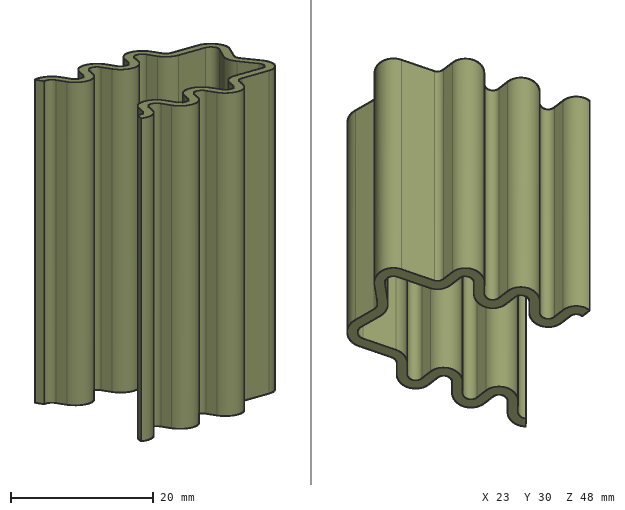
import cadquery as cq
import math

length = 48.0
width = 23.0
depth = 30.0
wall = 1.5
inside_radius = 1.2
neck_width = 15.0
lobe_pitch = 8.5
first_lobe_depth = 12.0
valley_depth = 2.2
outer_lobes = 2

outside_radius = inside_radius + wall
bend_radius = inside_radius + wall / 2


def tangent_angle(step_x, step_y):
    """Angle from +X, in degrees, of the straight run joining two bends.

    The run leaves a clockwise bend and enters a counterclockwise bend whose
    center lies step_x, step_y away from the first center.
    """
    crossing = math.asin(2 * bend_radius / math.hypot(step_x, step_y))
    return math.degrees(math.atan2(step_y, step_x) - crossing)


lobe_x = -width / 2 + outside_radius
inner_x = -neck_width / 2 + wall - outside_radius
corner_x = -neck_width / 2 + outside_radius
corner_y = -outside_radius
valley_y = -valley_depth + inside_radius
end_y = -first_lobe_depth - outer_lobes * lobe_pitch

leg_slope = tangent_angle(inner_x - lobe_x, lobe_pitch / 2)
crest_slope = -tangent_angle(-corner_x, valley_y - corner_y)
end_sweep = math.degrees(math.asin((depth + end_y) / outside_radius))

left_bends = [(lobe_x, end_y, 180 + end_sweep, 90 + leg_slope)]
for index in range(outer_lobes):
    lobe_y = end_y + (index + 1) * lobe_pitch
    inner_y = lobe_y - lobe_pitch / 2
    left_bends.append((inner_x, inner_y, leg_slope - 90, 90 - leg_slope))
    left_bends.append((lobe_x, lobe_y, 270 - leg_slope, 90 + leg_slope))
neck_y = -first_lobe_depth + lobe_pitch / 2
left_bends.append((inner_x, neck_y, leg_slope - 90, 0))
left_bends.append((corner_x, corner_y, 180, 90 - crest_slope))

valley = (0, valley_y, -90 - crest_slope, -90 + crest_slope)
right_bends = [(-x, y, 180 - end, 180 - start) for x, y, start, end in reversed(left_bends)]
bends = left_bends + [valley] + right_bends


def face_arcs(offset):
    """Three points on each bend of the face offset to the left of the path."""
    arcs = []
    for x, y, start, end in bends:
        radius = bend_radius - offset * math.copysign(1, end - start)
        points = []
        for angle in (start, (start + end) / 2, end):
            turn = math.radians(angle)
            points.append((x + radius * math.cos(turn), y + radius * math.sin(turn)))
        arcs.append(points)
    return arcs


outer_face = face_arcs(wall / 2)
inner_face = [arc[::-1] for arc in reversed(face_arcs(-wall / 2))]
first_arc, *other_arcs = outer_face + inner_face
outline = cq.Workplane("XY").moveTo(*first_arc[0]).threePointArc(*first_arc[1:])
for start_point, middle_point, end_point in other_arcs:
    outline = outline.lineTo(*start_point).threePointArc(middle_point, end_point)

result = outline.close().extrude(length)